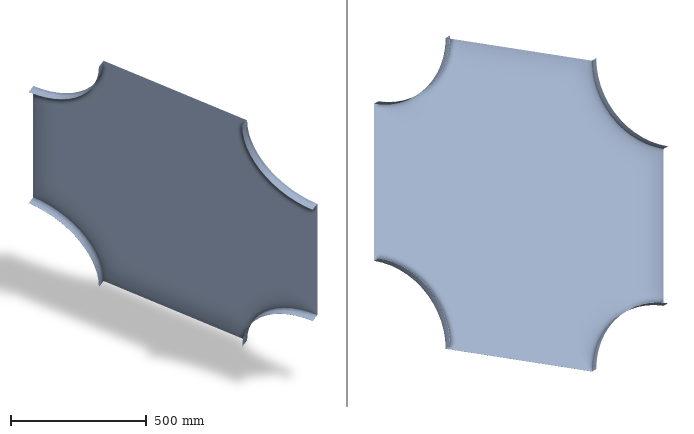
import cadquery as cq

SIDE = 1200.0
DEPTH = 35.0

SHEET = 1.0

NOTCH_RADIUS = 298.0
LIP_DEPTH = 7.0

HALF_SIDE = SIDE / 2
BACK_Y = DEPTH / 2
FRONT_Y = -DEPTH / 2
LIP_Y = BACK_Y - LIP_DEPTH
INNER_RADIUS = NOTCH_RADIUS - SHEET

CORNERS = [(x, z) for x in (-HALF_SIDE, HALF_SIDE) for z in (-HALF_SIDE, HALF_SIDE)]


def square_block(front_y, back_y):
    """Full square outline between two Y planes."""
    return cq.Workplane("XZ", origin=(0, back_y, 0)).rect(SIDE, SIDE).extrude(back_y - front_y)


def quarter_ring(corner, front_y, back_y):
    """Thin arc wall around one corner, trimmed to the square outline."""
    x, z = corner
    ring = (
        cq.Workplane("XZ", origin=(x, back_y, z))
        .circle(NOTCH_RADIUS)
        .circle(INNER_RADIUS)
        .extrude(back_y - front_y)
    )
    return ring.intersect(square_block(front_y, back_y))


def make_plate():
    """Flat sheet with four notched corners, each edged by a short lip."""
    notches = cq.Workplane("XZ", origin=(0, BACK_Y, 0)).pushPoints(CORNERS).circle(INNER_RADIUS).extrude(SHEET)
    plate = square_block(BACK_Y - SHEET, BACK_Y).cut(notches)
    for corner in CORNERS:
        plate = plate.union(quarter_ring(corner, LIP_Y, BACK_Y))
    return plate


def make_rim(corner):
    """Curved strip that continues a plate lip to the full depth."""
    return quarter_ring(corner, FRONT_Y, LIP_Y)


plate = make_plate()
rims = [make_rim(corner) for corner in CORNERS]

result = cq.Compound.makeCompound([plate.val(), *[rim.val() for rim in rims]])